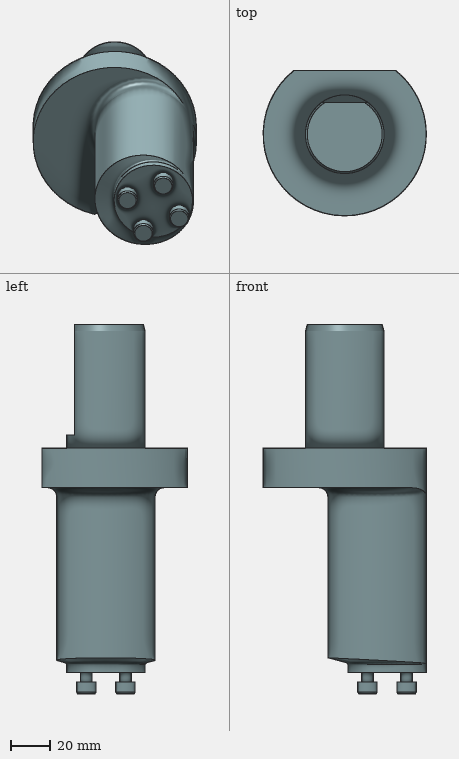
import cadquery as cq
import math

TOTAL_HEIGHT = 187.5
SHANK_LENGTH = 62.8
FLANGE_THICKNESS = 20.0
END_DISC_BOTTOM = -114.0
END_DISC_THICKNESS = 4.9
SCREW_HEAD_HEIGHT = 6.0

FLANGE_RADIUS = 41.5
FLANGE_FLAT_Y = 32.5

SHANK_RADIUS = 40.0 / 2
SHANK_FLAT_DEPTH = 4.0
SHANK_FLAT_START = 6.8
SHANK_CHAMFER_HEIGHT = 3.5
SHANK_CHAMFER_ANGLE = 15

BODY_RADIUS = 50.0 / 2
BODY_FILLET = 4.5
DISC_RADIUS = 40.0 / 2
DISC_FILLET = 1.0
END_CONE_ANGLE = 15

SCREW_OFFSET = 10.0
SCREW_RADIUS = 6.0 / 2
SCREW_HEAD_RADIUS = 10.0 / 2
SCREW_CHAMFER_HEIGHT = 1.0
SCREW_CHAMFER_WIDTH = 0.5

SHANK_FLAT_Y = SHANK_RADIUS - SHANK_FLAT_DEPTH
BODY_X = FLANGE_RADIUS - BODY_RADIUS
DISC_X = FLANGE_RADIUS - DISC_RADIUS
DISC_TOP = END_DISC_BOTTOM + END_DISC_THICKNESS
PART_BOTTOM = SHANK_LENGTH - TOTAL_HEIGHT


def cylinder(x, y, radius, bottom, top):
    return cq.Workplane("XY", origin=(x, y, bottom)).circle(radius).extrude(top - bottom)


def side_block(start_y, bottom, top):
    """Block covering everything on the +Y side of start_y between two heights."""
    size = 2 * FLANGE_RADIUS
    return cq.Workplane("XY", origin=(0, start_y + size / 2, bottom)).rect(size, size).extrude(top - bottom)


def revolved(profile):
    """Close an XZ profile and turn it around the vertical line through its origin."""
    return profile.close().revolve(360, (0, 0, 0), (0, 1, 0))


def make_shank():
    chamfer_width = SHANK_CHAMFER_HEIGHT * math.tan(math.radians(SHANK_CHAMFER_ANGLE))
    profile = (
        cq.Workplane("XZ")
        .lineTo(SHANK_RADIUS, 0)
        .lineTo(SHANK_RADIUS, SHANK_LENGTH - SHANK_CHAMFER_HEIGHT)
        .lineTo(SHANK_RADIUS - chamfer_width, SHANK_LENGTH)
        .lineTo(0, SHANK_LENGTH)
    )
    return revolved(profile).cut(side_block(SHANK_FLAT_Y, SHANK_FLAT_START, SHANK_LENGTH))


def make_flange():
    flange = cylinder(0, 0, FLANGE_RADIUS, -FLANGE_THICKNESS, 0)
    return flange.cut(side_block(FLANGE_FLAT_Y, -FLANGE_THICKNESS, 0))


def make_body():
    """Eccentric cylinder with a flared root, kept inside the flange outline and the end cone."""
    root = -FLANGE_THICKNESS
    flare_radius = BODY_RADIUS + BODY_FILLET
    arc_inset = BODY_FILLET * (1 - math.sqrt(0.5))
    profile = (
        cq.Workplane("XZ", origin=(BODY_X, 0, 0))
        .moveTo(0, root)
        .lineTo(flare_radius, root)
        .threePointArc((BODY_RADIUS + arc_inset, root - arc_inset), (BODY_RADIUS, root - BODY_FILLET))
        .lineTo(BODY_RADIUS, END_DISC_BOTTOM)
        .lineTo(0, END_DISC_BOTTOM)
    )
    outline = cylinder(0, 0, FLANGE_RADIUS, END_DISC_BOTTOM, root)
    return revolved(profile).intersect(outline).intersect(make_end_form())


def make_end_form():
    """Shape that trims the body end: disc, small fillet, then a cone opening upwards past the body."""
    slope = math.radians(END_CONE_ANGLE)
    turn = math.pi / 2 - slope
    tangent = DISC_FILLET * math.tan(turn / 2)
    fillet_x = DISC_RADIUS + DISC_FILLET
    fillet_z = DISC_TOP - tangent
    fillet_middle = (
        fillet_x - DISC_FILLET * math.cos(turn / 2),
        fillet_z + DISC_FILLET * math.sin(turn / 2),
    )
    fillet_end = (DISC_RADIUS + tangent * math.cos(slope), DISC_TOP + tangent * math.sin(slope))
    reach = 2 * BODY_RADIUS
    cone_top = DISC_TOP + (reach - DISC_RADIUS) * math.tan(slope)
    profile = (
        cq.Workplane("XZ", origin=(DISC_X, 0, 0))
        .moveTo(0, END_DISC_BOTTOM)
        .lineTo(DISC_RADIUS, END_DISC_BOTTOM)
        .lineTo(DISC_RADIUS, fillet_z)
        .threePointArc(fillet_middle, fillet_end)
        .lineTo(reach, cone_top)
        .lineTo(reach, 0)
        .lineTo(0, 0)
    )
    return revolved(profile)


def make_screw(x, y):
    head_top = PART_BOTTOM + SCREW_HEAD_HEIGHT
    profile = (
        cq.Workplane("XZ", origin=(x, y, 0))
        .moveTo(0, PART_BOTTOM)
        .lineTo(SCREW_HEAD_RADIUS - SCREW_CHAMFER_WIDTH, PART_BOTTOM)
        .lineTo(SCREW_HEAD_RADIUS, PART_BOTTOM + SCREW_CHAMFER_HEIGHT)
        .lineTo(SCREW_HEAD_RADIUS, head_top)
        .lineTo(SCREW_RADIUS, head_top)
        .lineTo(SCREW_RADIUS, END_DISC_BOTTOM)
        .lineTo(0, END_DISC_BOTTOM)
    )
    return revolved(profile)


result = make_flange().union(make_shank()).union(make_body())
for x_side in (-1, 1):
    for y_side in (-1, 1):
        result = result.union(make_screw(DISC_X + x_side * SCREW_OFFSET, y_side * SCREW_OFFSET))